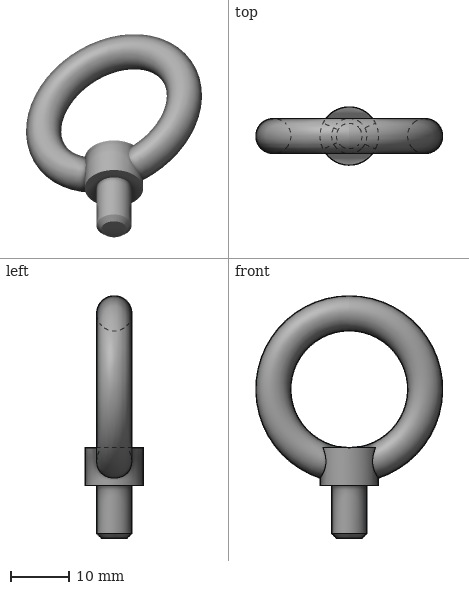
import cadquery as cq

total_height = 41.5
ring_outer_diameter = 32.0
wire_diameter = 6.0

collar_diameter = 10.0
shank_diameter = 6.0
shank_length = 9.0
tip_chamfer = 0.85

ring_center_z = total_height - ring_outer_diameter / 2
ring_path_radius = (ring_outer_diameter - wire_diameter) / 2
collar_top_z = total_height - ring_outer_diameter + wire_diameter
collar_height = collar_top_z - shank_length


def make_ring():
    """Round-wire ring standing in the XZ plane."""
    return cq.Workplane(
        cq.Solid.makeTorus(
            ring_path_radius,
            wire_diameter / 2,
            cq.Vector(0, 0, ring_center_z),
            cq.Vector(0, 1, 0),
        )
    )


def make_collar():
    """Cylindrical collar that the bottom of the ring merges into."""
    return (
        cq.Workplane("XY", origin=(0, 0, shank_length))
        .circle(collar_diameter / 2)
        .extrude(collar_height)
    )


def make_shank():
    """Plain shank with a chamfered tip."""
    return (
        cq.Workplane("XY")
        .circle(shank_diameter / 2)
        .extrude(shank_length)
        .faces("<Z")
        .chamfer(tip_chamfer)
    )


result = make_ring().union(make_collar()).union(make_shank())